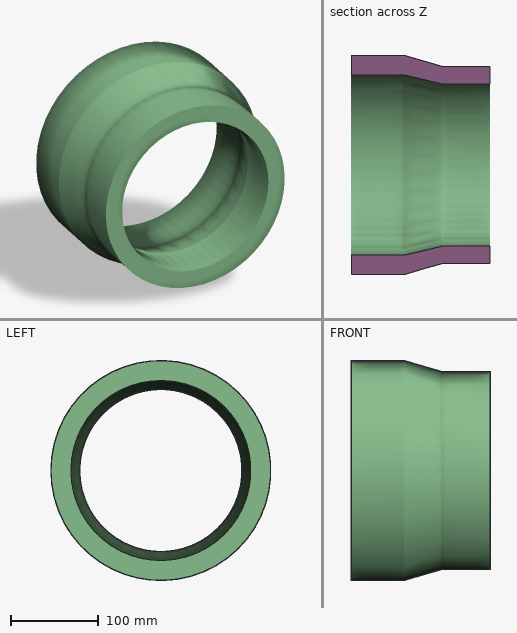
import cadquery as cq

large_outer_diameter = 250.0
large_bore_diameter = 204.5
small_outer_diameter = 225.0
small_bore_diameter = 184.0

total_length = 158.0
large_end_length = 60.0
small_end_length = 55.0

taper_start = large_end_length
taper_end = total_length - small_end_length


def stepped_taper(large_diameter, small_diameter):
    """Solid of revolution: large cylinder, cone, small cylinder."""
    large_radius = large_diameter / 2
    small_radius = small_diameter / 2
    return (
        cq.Workplane("XY")
        .moveTo(0, 0)
        .lineTo(0, large_radius)
        .lineTo(taper_start, large_radius)
        .lineTo(taper_end, small_radius)
        .lineTo(total_length, small_radius)
        .lineTo(total_length, 0)
        .close()
        .revolve(360, (0, 0, 0), (1, 0, 0))
    )


body = stepped_taper(large_outer_diameter, small_outer_diameter)
bore = stepped_taper(large_bore_diameter, small_bore_diameter)
result = body.cut(bore)